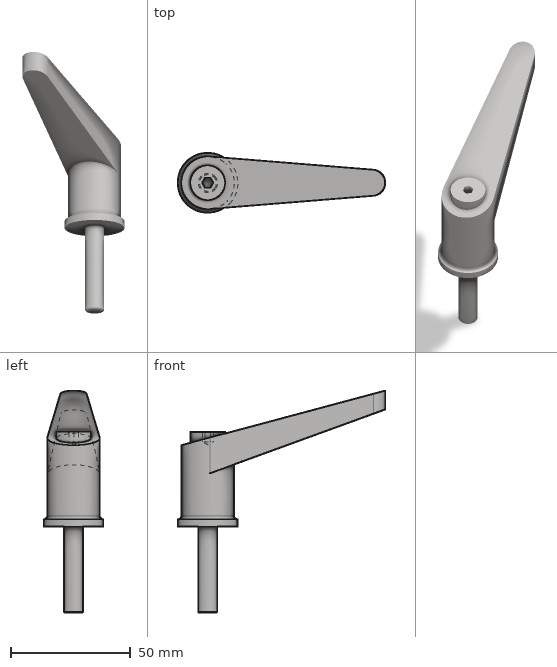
import cadquery as cq
import math


flange_radius = 12.5
flange_height = 3.0
hub_radius = 11.0
hub_blend_radius = flange_radius - hub_radius

stud_radius = 4.0
stud_length = 36.0
stud_chamfer = 0.5

arm_reach = 74.0
arm_tip_radius = 5.5
top_slope = math.tan(math.radians(15))
underside_slope = math.tan(math.radians(20))
top_height_at_axis = 36.87
underside_height_at_axis = 21.85

head_radius = 7.25
head_top = 39.5
socket_across_flats = 4.0
socket_depth = 4.0
drill_point_angle = 120.0


def make_stud():
    stud = cq.Workplane("XY").circle(stud_radius).extrude(-stud_length)
    return stud.faces("<Z").chamfer(stud_chamfer)


def make_flange():
    """Flange disc and the concave blend that carries it up to the hub."""
    blend_top = flange_height + hub_blend_radius
    arc_offset = hub_blend_radius * math.sqrt(0.5)
    arc_middle = (flange_radius - arc_offset, blend_top - arc_offset)
    return (
        cq.Workplane("XZ")
        .lineTo(flange_radius, 0)
        .lineTo(flange_radius, flange_height)
        .threePointArc(arc_middle, (hub_radius, blend_top))
        .lineTo(0, blend_top)
        .close()
        .revolve(360, (0, 0, 0), (0, 1, 0))
    )


def make_arm_outline():
    """Outline of hub and arm from above: two circles joined by common tangents."""
    tip_center = arm_reach - arm_tip_radius
    tangent_sin = (hub_radius - arm_tip_radius) / tip_center
    tangent_cos = math.sqrt(1 - tangent_sin**2)
    hub_x = hub_radius * tangent_sin
    hub_y = hub_radius * tangent_cos
    tip_x = tip_center + arm_tip_radius * tangent_sin
    tip_y = arm_tip_radius * tangent_cos
    return (
        cq.Workplane("XY")
        .moveTo(hub_x, -hub_y)
        .lineTo(tip_x, -tip_y)
        .threePointArc((arm_reach, 0), (tip_x, tip_y))
        .lineTo(hub_x, hub_y)
        .threePointArc((-hub_radius, 0), (hub_x, -hub_y))
        .close()
    )


def make_side_band(lower_slope, lower_height):
    """Full-width slab between a lower line and the sloping top of the arm."""
    x_start = -flange_radius
    x_end = arm_reach + flange_radius
    return (
        cq.Workplane("XZ")
        .moveTo(x_start, lower_height + lower_slope * x_start)
        .lineTo(x_end, lower_height + lower_slope * x_end)
        .lineTo(x_end, top_height_at_axis + top_slope * x_end)
        .lineTo(x_start, top_height_at_axis + top_slope * x_start)
        .close()
        .extrude(flange_radius, both=True)
    )


def make_arm():
    tall_height = top_height_at_axis + top_slope * (arm_reach + flange_radius)
    prism = make_arm_outline().extrude(tall_height)
    return prism.intersect(make_side_band(underside_slope, underside_height_at_axis))


def make_hub():
    """Round hub rising from the flange, cut off by the sloping top of the arm."""
    hub = cq.Workplane("XY").circle(hub_radius).extrude(head_top + hub_radius)
    return hub.intersect(make_side_band(0, 0))


def make_screw_head():
    return cq.Workplane("XY").circle(head_radius).extrude(head_top)


def make_socket():
    """Hexagon socket with corners on the X axis and a conical bottom."""
    corner_radius = socket_across_flats / math.sqrt(3)
    point_depth = corner_radius / math.tan(math.radians(drill_point_angle / 2))
    hexagon = (
        cq.Workplane("XY", origin=(0, 0, head_top))
        .polygon(6, 2 * corner_radius)
        .extrude(-socket_depth - point_depth)
    )
    pointed_drill = (
        cq.Workplane("XZ")
        .moveTo(0, head_top)
        .lineTo(corner_radius, head_top)
        .lineTo(corner_radius, head_top - socket_depth)
        .lineTo(0, head_top - socket_depth - point_depth)
        .close()
        .revolve(360, (0, 0, 0), (0, 1, 0))
    )
    return hexagon.intersect(pointed_drill)


result = (
    make_flange()
    .union(make_hub())
    .union(make_arm())
    .union(make_screw_head())
    .union(make_stud())
    .cut(make_socket())
)